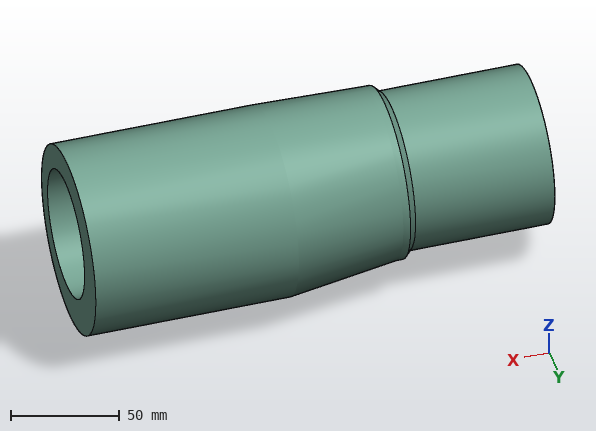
import cadquery as cq

total_length = 223.0
large_diameter = 90.0
collar_diameter = 81.6
small_diameter = 75.0
bore_diameter = 61.3

small_pipe_end = 66.7
collar_start = 70.0
collar_end = 73.4
large_pipe_start = 125.8

small_axis_y = -(large_diameter - collar_diameter) / 2


def section(x, axis_y):
    """Workplane across the pipe at station x, centred on the given axis."""
    return cq.Workplane("YZ", origin=(x, axis_y, 0))


def cylinder(x_start, x_end, diameter, axis_y):
    return section(x_start, axis_y).circle(diameter / 2).extrude(x_end - x_start)


def taper(x_start, diameter_start, axis_start, x_end, diameter_end, axis_end):
    """Straight-sided transition between two circles, which may be offset in Y."""
    return (
        section(x_start, axis_start)
        .circle(diameter_start / 2)
        .workplane(offset=x_end - x_start)
        .center(axis_end - axis_start, 0)
        .circle(diameter_end / 2)
        .loft(ruled=True)
    )


small_pipe = cylinder(0, small_pipe_end, small_diameter, small_axis_y)
shoulder = taper(
    small_pipe_end, small_diameter, small_axis_y,
    collar_start, collar_diameter, small_axis_y,
)
collar = cylinder(collar_start, collar_end, collar_diameter, small_axis_y)
eccentric_cone = taper(
    collar_end, collar_diameter, small_axis_y,
    large_pipe_start, large_diameter, 0,
)
large_pipe = cylinder(large_pipe_start, total_length, large_diameter, 0)

bore = cylinder(0, total_length, bore_diameter, small_axis_y)

body = small_pipe.union(shoulder).union(collar).union(eccentric_cone).union(large_pipe)
result = body.cut(bore)